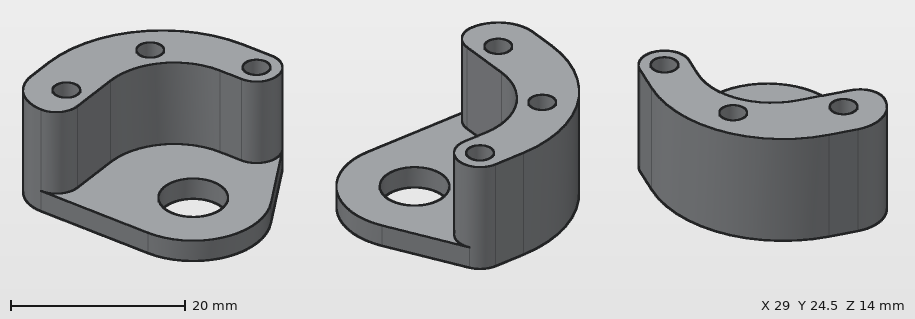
import cadquery as cq
import math

length = 29.0
depth = 24.5
height = 14.0
base_thickness = 2.8

pivot_radius = 9.0
pivot_bore_diameter = 8.0
pin_hole_diameter = 3.2

left_x = pivot_radius - length
end_radius = 3.0
corner_radius = 5.0
outer_bend_radius = 16.0
inner_bend_radius = 9.0
middle_hole = (-12.04, 8.38)

bottom_y = -pivot_radius
top_y = bottom_y + depth
upper_end_y = top_y - end_radius
corner_x = left_x + corner_radius
corner_y = bottom_y + corner_radius
outer_bend_x = left_x + outer_bend_radius
outer_bend_y = top_y - outer_bend_radius
inner_x = corner_x + end_radius
inner_y = upper_end_y - end_radius
inner_bend_x = inner_x + inner_bend_radius
inner_bend_y = inner_y - inner_bend_radius


def arc_point(center_x, center_y, radius, angle):
    """Point on a circle at an angle in degrees from +X."""
    turn = math.radians(angle)
    return (center_x + radius * math.cos(turn), center_y + radius * math.sin(turn))


def outer_side():
    """Open path from the bottom edge, up the left side, to the upper end."""
    return (
        cq.Workplane("XY")
        .moveTo(corner_x, bottom_y)
        .threePointArc(arc_point(corner_x, corner_y, corner_radius, 225), (left_x, corner_y))
        .lineTo(left_x, outer_bend_y)
        .threePointArc(
            arc_point(outer_bend_x, outer_bend_y, outer_bend_radius, 135),
            (outer_bend_x, top_y),
        )
        .lineTo(0, top_y)
    )


def make_base():
    tangent_angle = math.degrees(math.asin((pivot_radius - end_radius) / upper_end_y))
    end_mid_angle = (90 + tangent_angle) / 2
    lobe_mid_angle = (tangent_angle - 90) / 2
    return (
        outer_side()
        .threePointArc(
            arc_point(0, upper_end_y, end_radius, end_mid_angle),
            arc_point(0, upper_end_y, end_radius, tangent_angle),
        )
        .lineTo(*arc_point(0, 0, pivot_radius, tangent_angle))
        .threePointArc(arc_point(0, 0, pivot_radius, lobe_mid_angle), (0, bottom_y))
        .close()
        .extrude(base_thickness)
    )


def make_wall():
    lower_end_y = bottom_y + end_radius
    return (
        outer_side()
        .threePointArc((end_radius, upper_end_y), (0, inner_y))
        .lineTo(inner_bend_x, inner_y)
        .threePointArc(
            arc_point(inner_bend_x, inner_bend_y, inner_bend_radius, 135),
            (inner_x, inner_bend_y),
        )
        .lineTo(inner_x, lower_end_y)
        .threePointArc(
            arc_point(corner_x, lower_end_y, end_radius, -45),
            (corner_x, bottom_y),
        )
        .close()
        .extrude(height)
    )


def through_holes(centers, diameter):
    return cq.Workplane("XY").pushPoints(centers).circle(diameter / 2).extrude(height)


pin_holes = [(0, upper_end_y), middle_hole, (corner_x, corner_y)]

result = (
    make_base()
    .union(make_wall())
    .cut(through_holes([(0, 0)], pivot_bore_diameter))
    .cut(through_holes(pin_holes, pin_hole_diameter))
)